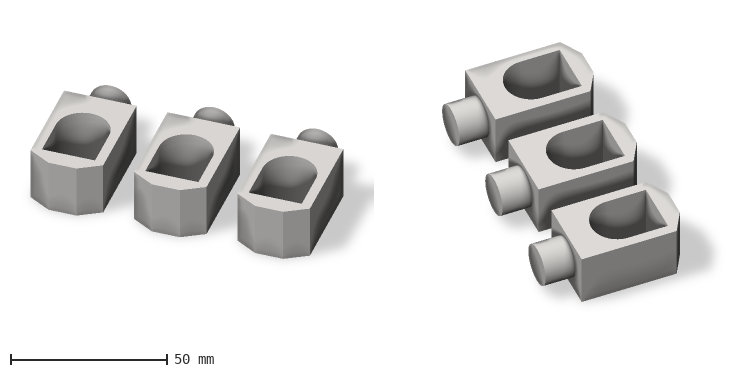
import cadquery as cq
import math

LUG_COUNT = 3
PITCH = 35.0

WIDTH = 24.6
BLOCK_LENGTH = 37.4
HEIGHT = 19.0
NOSE_WIDTH = 9.45
NOSE_ANGLE = 30.0

WINDOW_WIDTH = 18.0
WINDOW_LENGTH = 22.9
FRONT_WALL = 6.0

STEM_DIAMETER = 14.1
STEM_LENGTH = 10.3

nose_depth = (WIDTH - NOSE_WIDTH) / 2 * math.tan(math.radians(NOSE_ANGLE))


def make_block():
    """Block with a tapered nose at Y = 0, standing on Z = 0."""
    half_width = WIDTH / 2
    half_nose = NOSE_WIDTH / 2
    outline = [
        (-half_nose, 0),
        (half_nose, 0),
        (half_width, nose_depth),
        (half_width, BLOCK_LENGTH),
        (-half_width, BLOCK_LENGTH),
        (-half_width, nose_depth),
    ]
    return cq.Workplane("XY").polyline(outline).close().extrude(HEIGHT)


def make_window():
    """Cutter with a flat front end and a half-round back end."""
    radius = WINDOW_WIDTH / 2
    window_back = FRONT_WALL + WINDOW_LENGTH
    arc_start = window_back - radius
    return (
        cq.Workplane("XY")
        .moveTo(-radius, FRONT_WALL)
        .lineTo(radius, FRONT_WALL)
        .lineTo(radius, arc_start)
        .threePointArc((0, window_back), (-radius, arc_start))
        .close()
        .extrude(HEIGHT)
    )


def make_stem():
    """Cylinder along +Y from the back face, centred on the block height."""
    back_face = cq.Workplane("XZ", origin=(0, BLOCK_LENGTH, HEIGHT / 2))
    return back_face.circle(STEM_DIAMETER / 2).extrude(-STEM_LENGTH)


def make_lug():
    """One complete lug: block and stem in one piece, with the window cut through."""
    return make_block().cut(make_window()).union(make_stem())


lug = make_lug()
first_x = -PITCH * (LUG_COUNT - 1) / 2
lugs = []
for index in range(LUG_COUNT):
    placed_lug = lug.translate((first_x + index * PITCH, 0, 0))
    lugs.append(placed_lug.val())

result = cq.Compound.makeCompound(lugs)